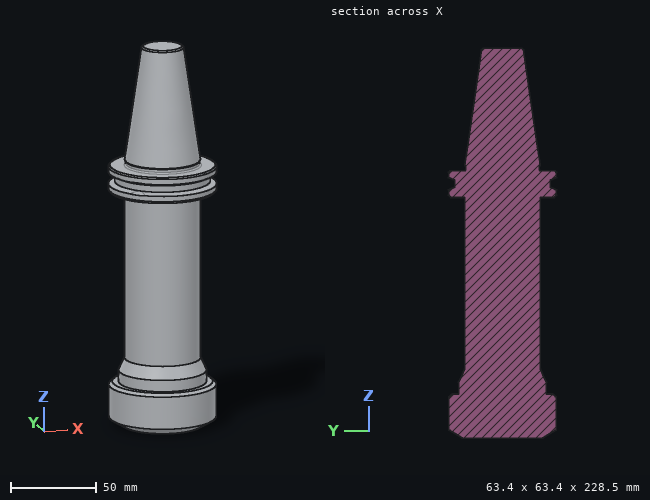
import cadquery as cq

total_height = 228.5
nose_chamfer_top = 4.8
nut_shoulder = 24.2
nut_top = 26.0
collar_top = 33.0
shank_start = 40.5
flange_bottom = 141.0
flange_top = 156.7
gauge_plane = 159.9

nose_radius = 23.5
nut_radius = 31.5
nut_top_radius = 29.5
collar_radius = 25.8
shank_radius = 22.4
flange_radius = 31.7
groove_radius = 28.0
neck_radius = 21.7
gauge_radius = 22.27

bottom_chamfer = 1.4
top_chamfer = 1.0
groove_floor_bottom = 147.0
groove_floor_top = 151.0
groove_side_height = 1.5
neck_fillet = 1.0

flat_side_height = 1.8
flat_azimuth = 225
flat_cut_length = 22.8
cutter_clearance = 2.3

taper_slope = 7 / 48
tip_chamfer = 1.0
tip_radius = gauge_radius - taper_slope * (total_height - gauge_plane)
taper_end_radius = tip_radius + taper_slope * tip_chamfer
relief_height = 0.7

profile = (
    cq.Workplane("XZ")
    .moveTo(0, 0)
    .lineTo(nose_radius, 0)
    .lineTo(nut_radius, nose_chamfer_top)
    .lineTo(nut_radius, nut_shoulder)
    .lineTo(nut_top_radius, nut_top)
    .lineTo(collar_radius, nut_top)
    .lineTo(collar_radius, collar_top)
    .lineTo(shank_radius, shank_start)
    .lineTo(shank_radius, flange_bottom)
    .lineTo(flange_radius - bottom_chamfer, flange_bottom)
    .lineTo(flange_radius, flange_bottom + bottom_chamfer)
    .lineTo(flange_radius, groove_floor_bottom - groove_side_height)
    .lineTo(groove_radius, groove_floor_bottom)
    .lineTo(groove_radius, groove_floor_top)
    .lineTo(flange_radius, groove_floor_top + groove_side_height)
    .lineTo(flange_radius, flange_top - top_chamfer)
    .lineTo(flange_radius - top_chamfer, flange_top)
    .lineTo(neck_radius + neck_fillet, flange_top)
    .radiusArc((neck_radius, flange_top + neck_fillet), neck_fillet)
    .lineTo(neck_radius, gauge_plane - relief_height)
    .lineTo(gauge_radius, gauge_plane)
    .lineTo(taper_end_radius, total_height - tip_chamfer)
    .lineTo(tip_radius - tip_chamfer, total_height)
    .lineTo(0, total_height)
    .close()
)
body = profile.revolve(360, (0, 0, 0), (0, 1, 0))

side_slope = flat_side_height / (flange_radius - groove_radius)
cutter_outer = flange_radius + cutter_clearance
cutter_flare = side_slope * (cutter_outer - groove_radius)
flat_cutter = (
    cq.Workplane("XZ")
    .moveTo(groove_radius, groove_floor_bottom)
    .lineTo(cutter_outer, groove_floor_bottom - cutter_flare)
    .lineTo(cutter_outer, groove_floor_top + cutter_flare)
    .lineTo(groove_radius, groove_floor_top)
    .close()
    .extrude(flat_cut_length / 2, both=True)
    .rotate((0, 0, 0), (0, 0, 1), flat_azimuth)
)
result = body.cut(flat_cutter)